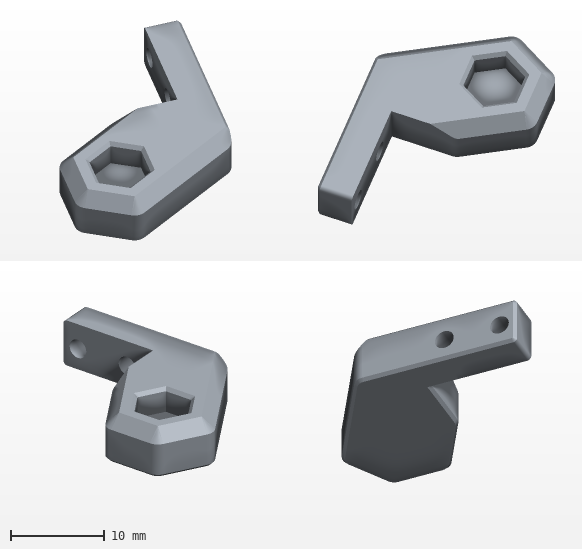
import cadquery as cq
import math

length = 26.08
depth = 18.78
height = 5.5

bar_depth = 4.02
bar_length = 11.85
bar_end_radius = 0.5
hole_diameter = 2.2
hole_height = 2.5
hole_positions = (1.93, 8.4)

head_apothem = 5.9
corner_radius = 1.45
top_bevel = corner_radius
edge_chamfer = 0.35

pocket_apothem = 2.9
pocket_chamfer = 0.4
pocket_depth = 2.9

cos30 = math.cos(math.radians(30))
tan60 = math.tan(math.radians(60))
corner_reach = 0.25

corner_trim = corner_radius * (1 / cos30 - 1)
head_x = length + corner_trim - head_apothem / cos30
head_y = head_apothem - depth


def head_band(apothem, rise):
    """Lower hexagon sides, with the two slanted long sides continued up to the given rise."""
    radius = apothem / cos30
    shift = rise / tan60
    return [
        (head_x + radius - shift, head_y + rise),
        (head_x - radius - shift, head_y + rise),
        (head_x - radius / 2, head_y - apothem),
        (head_x + radius / 2, head_y - apothem),
        (head_x + radius, head_y),
    ]


def make_body():
    """Bar and head in plan, with rounded head corners and a chamfered underside."""
    back_right, _, front_left, front_right, right = head_band(head_apothem, -head_y)
    neck_y = front_left[1] + (front_left[0] - bar_length) * tan60
    outline = [
        (0, 0),
        (0, -bar_depth),
        (bar_length, -bar_depth),
        (bar_length, neck_y),
        front_left,
        front_right,
        right,
        back_right,
    ]
    body = cq.Workplane("XY").polyline(outline).close().extrude(height)
    for x, y in outline[3:]:
        corner = cq.selectors.BoxSelector(
            (x - corner_reach, y - corner_reach, 0), (x + corner_reach, y + corner_reach, height)
        )
        body = body.edges("|Z").edges(corner).fillet(corner_radius)
    neck_edge = cq.selectors.NearestToPointSelector((bar_length, (neck_y - bar_depth) / 2, 0))
    return body.faces("<Z").edges(neck_edge).chamfer(edge_chamfer)


def make_bar_envelope():
    """Block with the rounded bar end and the chamfered rim of the back face."""
    block = cq.Workplane("XY", origin=(0, -depth, 0)).box(2 * length, depth, height, centered=False)
    block = block.edges("|Y and <X").fillet(bar_end_radius)
    rim = block.faces(">Y").edges("not >X")
    return rim.chamfer(edge_chamfer)


def make_bevel_envelope():
    """Space under the sloping top bevel of the head, clear of the bar."""
    head = (
        cq.Workplane("XY", origin=(0, 0, height))
        .polyline(head_band(head_apothem - top_bevel, depth))
        .close()
        .extrude(-height, taper=-45)
    )
    bar = cq.Workplane("XY").box(bar_length, depth, height, centered=False)
    return head.union(bar.translate((0, -bar_depth, 0)))


def hexagon(apothem, z):
    return (
        cq.Workplane("XY", origin=(head_x, head_y, z))
        .polygon(6, 2 * apothem / cos30)
    )


def make_pocket():
    """Hexagonal recess with a chamfered mouth."""
    recess = hexagon(pocket_apothem, height - pocket_depth).extrude(pocket_depth)
    mouth = (
        hexagon(pocket_apothem, height - pocket_chamfer)
        .workplane(offset=pocket_chamfer)
        .polygon(6, 2 * (pocket_apothem + pocket_chamfer) / cos30)
        .loft(ruled=True)
    )
    return recess.union(mouth)


def make_holes():
    return (
        cq.Workplane("XZ")
        .pushPoints([(x, hole_height) for x in hole_positions])
        .circle(hole_diameter / 2)
        .extrude(bar_depth)
    )


result = make_body().intersect(make_bar_envelope()).intersect(make_bevel_envelope())
result = result.cut(make_pocket()).cut(make_holes())